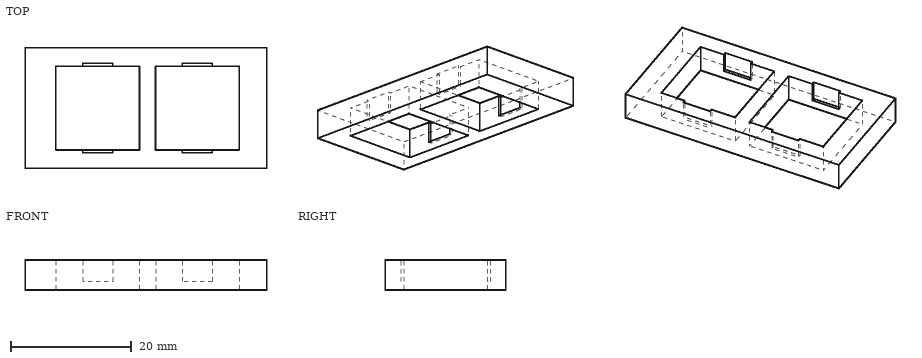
import cadquery as cq

length = 40.0
width = 20.0
height = 5.0

opening_size = 13.8
left_margin = 5.1
opening_pitch = 16.5
first_opening_x = -length / 2 + left_margin + opening_size / 2
opening_centres_x = [first_opening_x, first_opening_x + opening_pitch]

recess_length = 5.0
recess_inset = 0.5
recess_height = 3.5
recess_span = opening_size + 2 * recess_inset


def through_opening(centre_x):
    """Square hole through the full height of the block."""
    return (
        cq.Workplane("XY", origin=(centre_x, 0, 0))
        .rect(opening_size, opening_size)
        .extrude(height)
    )


def wall_recesses(centre_x):
    """One box spanning the opening, which sinks a recess into both of its Y walls."""
    return (
        cq.Workplane("XY", origin=(centre_x, 0, height - recess_height))
        .rect(recess_length, recess_span)
        .extrude(recess_height)
    )


result = cq.Workplane("XY").box(length, width, height, centered=(True, True, False))
for opening_x in opening_centres_x:
    result = result.cut(through_opening(opening_x))
    result = result.cut(wall_recesses(opening_x))